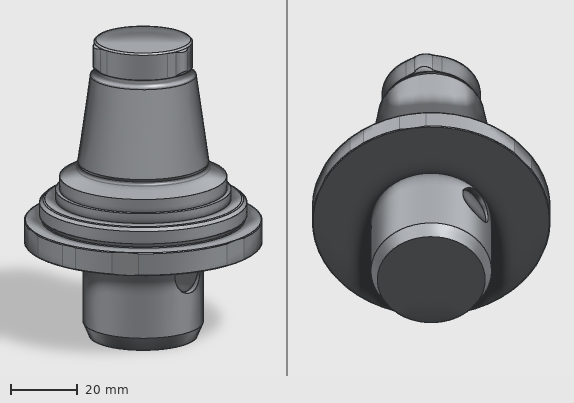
import cadquery as cq
import math

total_height = 92.0
base_chamfer_top = 4.3
flange_bottom = 28.9
flange_top = 36.1
groove_foot_top = 36.3
groove_top = 37.3
collar_bottom = 37.5
collar_shoulder = 41.4
collar_edge = 42.3
collar_top = 42.5
step_top = 45.5
seat_top = 49.6
cone_foot = 52.3
cone_rim_bottom = 53.4
cone_bottom = 54.2
cone_top = 81.05
neck_bottom = 81.2
head_bottom = 83.6
lug_bottom = 84.9
lug_top = 91.1
head_shoulder = 91.45

base_radius = 16.1
shank_radius = 36.0 / 2
flange_radius = 35.5
groove_foot_radius = 30.4
groove_radius = 60.1 / 2
collar_radius = 62.0 / 2
collar_edge_radius = 30.0
collar_top_radius = 29.4
step_radius = 52.4 / 2
seat_radius = 50.0 / 2
cone_foot_radius = 20.0
cone_rim_radius = 19.3
cone_bottom_radius = 19.6
cone_top_radius = 15.8
neck_bottom_radius = 15.5
neck_radius = 14.4
head_radius = 14.7
head_top_radius = 14.2
lug_radius = 15.7

flange_edge = 0.3
wide_flat_distance = 35.28
narrow_flat_distance = 35.4

lug_count = 3
lug_root_half_angle = 21.7
lug_nose_half_width = 2.8

hole_diameter = 12.0
hole_height = 22.45
hole_floor_distance = 16.1


def polar(radius, degrees):
    angle = math.radians(degrees)
    return (radius * math.cos(angle), radius * math.sin(angle))


def make_body():
    """Revolve everything except the flange and the lugs."""
    neck_rise = head_bottom - neck_bottom
    neck_width = neck_bottom_radius - neck_radius
    arc_middle = math.sin(math.radians(45))
    neck_middle = (neck_bottom_radius - neck_width * arc_middle, head_bottom - neck_rise * arc_middle)
    profile = (
        cq.Workplane("XZ")
        .moveTo(0, 0)
        .lineTo(base_radius, 0)
        .lineTo(shank_radius, base_chamfer_top)
        .lineTo(shank_radius, flange_bottom)
        .lineTo(groove_foot_radius, flange_bottom)
        .lineTo(groove_foot_radius, flange_top)
        .lineTo(groove_radius, groove_foot_top)
        .lineTo(groove_radius, groove_top)
        .lineTo(collar_radius, collar_bottom)
        .lineTo(collar_radius, collar_shoulder)
        .lineTo(collar_edge_radius, collar_edge)
        .lineTo(collar_top_radius, collar_top)
        .lineTo(step_radius, collar_top)
        .lineTo(step_radius, step_top)
        .lineTo(seat_radius, step_top)
        .lineTo(seat_radius, seat_top)
        .lineTo(cone_foot_radius, cone_foot)
        .tangentArcPoint((cone_rim_radius, cone_rim_bottom), relative=False)
        .lineTo(cone_bottom_radius, cone_bottom)
        .lineTo(cone_top_radius, cone_top)
        .lineTo(neck_bottom_radius, neck_bottom)
        .threePointArc(neck_middle, (neck_radius, head_bottom))
        .lineTo(head_radius, head_bottom)
        .lineTo(head_radius, head_shoulder)
        .lineTo(head_top_radius, total_height)
        .lineTo(0, total_height)
        .close()
    )
    return profile.revolve(360, (0, 0, 0), (0, 1, 0))


def flat_bar(distance, degrees):
    """A block whose two opposite faces lie at the given distance from the axis."""
    height = flange_top - flange_bottom
    bar = cq.Workplane("XY").box(2 * distance, 4 * flange_radius, height, centered=(True, True, False))
    return bar.rotate((0, 0, 0), (0, 0, 1), degrees).translate((0, 0, flange_bottom))


def make_flange():
    """A chamfered disc trimmed by shallow flats around its rim."""
    flange = (
        cq.Workplane("XY", origin=(0, 0, flange_bottom))
        .circle(flange_radius)
        .extrude(flange_top - flange_bottom)
        .edges()
        .chamfer(flange_edge)
    )
    for degrees in (0, 60, 120):
        flange = flange.intersect(flat_bar(wide_flat_distance, degrees))
    return flange.intersect(flat_bar(narrow_flat_distance, 90))


def make_lug(degrees):
    """One bayonet lug: flanks tangent to the head, a round nose and bevelled ends."""
    root_x, root_y = polar(head_radius, lug_root_half_angle)
    slope = math.tan(math.radians(lug_root_half_angle))
    nose_x = root_x + (root_y - lug_nose_half_width) * slope
    prism = (
        cq.Workplane("XY", origin=(0, 0, head_bottom))
        .lineTo(root_x, -root_y)
        .lineTo(nose_x, -lug_nose_half_width)
        .threePointArc((lug_radius, 0), (nose_x, lug_nose_half_width))
        .lineTo(root_x, root_y)
        .close()
        .extrude(head_shoulder - head_bottom)
    )
    bevel_envelope = (
        cq.Workplane("XZ")
        .moveTo(0, head_bottom)
        .lineTo(head_radius, head_bottom)
        .lineTo(lug_radius, lug_bottom)
        .lineTo(lug_radius, lug_top)
        .lineTo(head_radius, head_shoulder)
        .lineTo(0, head_shoulder)
        .close()
        .revolve(360, (0, 0, 0), (0, 1, 0))
    )
    return prism.intersect(bevel_envelope).rotate((0, 0, 0), (0, 0, 1), degrees)


def make_hole(side):
    """Cutter for a flat-bottomed hole entering the shank along X."""
    return (
        cq.Workplane("YZ", origin=(side * hole_floor_distance, 0, hole_height))
        .circle(hole_diameter / 2)
        .extrude(side * (shank_radius - hole_floor_distance))
    )


result = make_body().union(make_flange())
for index in range(lug_count):
    result = result.union(make_lug(index * 360 / lug_count))
for side in (-1, 1):
    result = result.cut(make_hole(side))